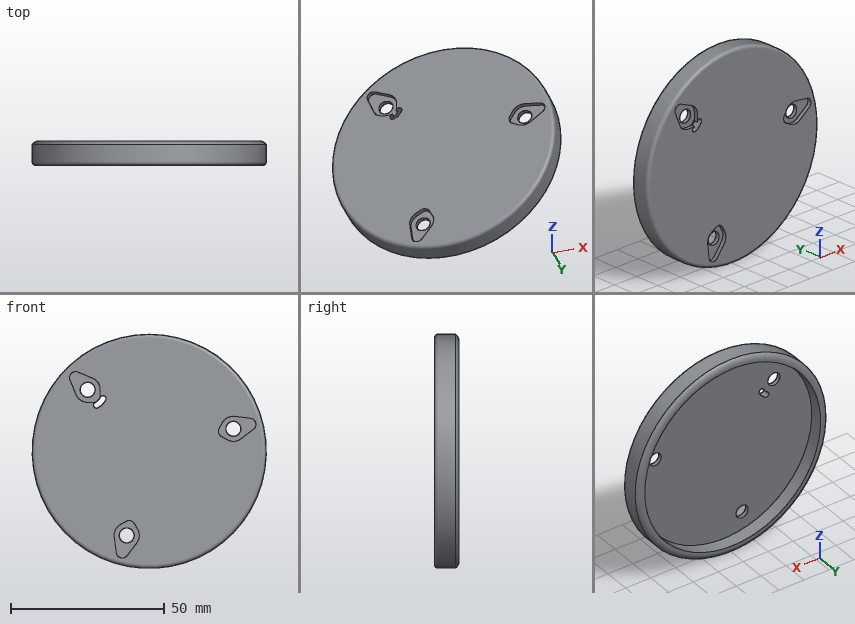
import cadquery as cq
import math

outer_diameter = 76.4
thickness = 8.0
front_edge_radius = 1.2
back_edge_height = 1.2
back_edge_inset = 2.2

web_thickness = 3.0
rim_wall = 3.0

hole_count = 3
first_hole_angle = 15.0
hole_circle_radius = 28.4
hole_diameter = 4.8
recess_depth = 1.5
recess_radius = 4.1
nose_radius = 2.0
outer_nose_distance = 5.55
inner_corner_angle = 90.0

slot_hole_angle = 135.0
slot_arc_radius = 5.8
slot_width = 1.9
slot_half_span = 15.0

outer_radius = outer_diameter / 2
back_y = thickness / 2
front_y = -back_y
back_edge_radius = (back_edge_height**2 + back_edge_inset**2) / (2 * back_edge_height)
cavity_radius = outer_radius - rim_wall
cavity_depth = thickness - web_thickness
inner_nose_distance = (recess_radius - nose_radius) / math.sin(math.radians(inner_corner_angle / 2))


def front_plane(angle, radius):
    """Plane on the front face, normal pointing into the disc, local x pointing radially outward."""
    direction = math.radians(angle)
    radial = (math.cos(direction), 0, math.sin(direction))
    origin = (radius * radial[0], front_y, radius * radial[2])
    return cq.Plane(origin=origin, xDir=radial, normal=(0, 1, 0))


def disc_body():
    """Disc with a tangent round at the front edge and a partial round at the back edge."""
    profile = (
        cq.Workplane("ZY")
        .moveTo(0, front_y)
        .lineTo(outer_radius - front_edge_radius, front_y)
        .radiusArc((outer_radius, front_y + front_edge_radius), -front_edge_radius)
        .lineTo(outer_radius, back_y - back_edge_height)
        .radiusArc((outer_radius - back_edge_inset, back_y), -back_edge_radius)
        .lineTo(0, back_y)
        .close()
    )
    return profile.revolve(360, (0, 0), (0, 1))


def back_cavity():
    """Round hollow open at the back face."""
    return cq.Workplane("XZ", origin=(0, back_y, 0)).circle(cavity_radius).extrude(cavity_depth)


def tapered_lobe(plane, nose_x):
    """Recess circle joined by tangent lines to a nose circle centred at nose_x."""
    side = math.copysign(1, nose_x)
    tangent_cos = (recess_radius - nose_radius) / abs(nose_x)
    tangent_sin = math.sqrt(1 - tangent_cos**2)
    base_x = side * recess_radius * tangent_cos
    base_y = recess_radius * tangent_sin
    end_x = nose_x + side * nose_radius * tangent_cos
    end_y = nose_radius * tangent_sin
    return (
        cq.Workplane(plane)
        .moveTo(base_x, base_y)
        .lineTo(end_x, end_y)
        .threePointArc((nose_x + side * nose_radius, 0), (end_x, -end_y))
        .lineTo(base_x, -base_y)
        .threePointArc((-side * recess_radius, 0), (base_x, base_y))
        .close()
        .extrude(recess_depth)
    )


def screw_seat(angle):
    """Teardrop recess with its through hole."""
    plane = front_plane(angle, hole_circle_radius)
    recess = tapered_lobe(plane, outer_nose_distance).union(tapered_lobe(plane, -inner_nose_distance))
    hole = cq.Workplane(plane).circle(hole_diameter / 2).extrude(thickness)
    return recess.union(hole)


def through_slot():
    """Round-ended arc slot through the web, centred on the direction of the disc axis."""
    half_span = math.radians(slot_half_span)
    half_width = slot_width / 2
    near_radius = slot_arc_radius - half_width
    far_radius = slot_arc_radius + half_width
    tip_angle = half_width / slot_arc_radius

    def arc_point(radius, angle):
        return (-radius * math.cos(angle), radius * math.sin(angle))

    return (
        cq.Workplane(front_plane(slot_hole_angle, hole_circle_radius))
        .moveTo(*arc_point(near_radius, -half_span))
        .threePointArc(arc_point(near_radius, 0), arc_point(near_radius, half_span))
        .threePointArc(
            arc_point(slot_arc_radius, half_span + tip_angle),
            arc_point(far_radius, half_span),
        )
        .threePointArc(arc_point(far_radius, 0), arc_point(far_radius, -half_span))
        .threePointArc(
            arc_point(slot_arc_radius, -half_span - tip_angle),
            arc_point(near_radius, -half_span),
        )
        .close()
        .extrude(thickness)
    )


result = disc_body().cut(back_cavity())
for index in range(hole_count):
    result = result.cut(screw_seat(first_hole_angle + index * 360 / hole_count))
result = result.cut(through_slot())